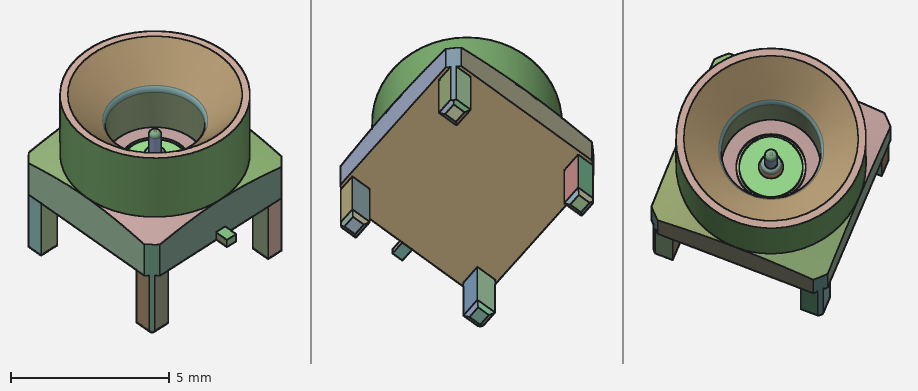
import cadquery as cq
import math


base_side = 6.0
base_bottom = 2.5
shoulder_height = 4.1
corner_radius = 4.0
top_slope_deg = 15.0

total_height = 6.6
shroud_radius = base_side / 2
mouth_radius = 2.75
bore_radius = 1.57
funnel_angle_deg = 45.0
throat_fillet = 0.3
bore_floor = 3.8

groove_outer_radius = 1.095
groove_inner_radius = 1.0
groove_depth = 0.1

pin_radius = 0.2
pin_top = 5.06
pin_tip_fillet = 0.15
collar_base_radius = 0.39
collar_top_radius = 0.335
collar_height = 0.395
collar_fillet = 0.125

leg_width = 0.71
leg_outer_face = 2.89
leg_tip_chamfer = 0.14
leg_overlap = 0.065

tab_length = 0.5
tab_width = 0.4
tab_thickness = 0.31
tab_bottom = base_bottom + 0.02
tab_overlap = 0.065


def cylinder(radius, bottom, top):
    return cq.Workplane("XY").workplane(offset=bottom).circle(radius).extrude(top - bottom)


def make_base():
    """Square block with rounded corners and a shallow conical top."""
    slope_drop = (corner_radius - shroud_radius) * math.tan(math.radians(top_slope_deg))
    envelope = (
        cq.Workplane("XZ")
        .moveTo(0, base_bottom)
        .lineTo(corner_radius, base_bottom)
        .lineTo(corner_radius, shoulder_height - slope_drop)
        .lineTo(shroud_radius, shoulder_height)
        .lineTo(0, shoulder_height)
        .close()
        .revolve(360, (0, 0, 0), (0, 1, 0))
    )
    block = (
        cq.Workplane("XY")
        .workplane(offset=base_bottom)
        .rect(base_side, base_side)
        .extrude(shoulder_height - base_bottom)
    )
    return block.intersect(envelope)


def make_bore():
    """Straight bore opening through a rounded throat into a conical mouth."""
    angle = math.radians(funnel_angle_deg)
    throat_height = total_height - (mouth_radius - bore_radius) / math.tan(angle)
    fillet_center_x = bore_radius + throat_fillet
    fillet_center_z = throat_height - throat_fillet * math.tan(angle / 2)

    def fillet_point(turn):
        """Point on the throat fillet, turned upward from the bore wall."""
        return (
            fillet_center_x - throat_fillet * math.cos(turn),
            fillet_center_z + throat_fillet * math.sin(turn),
        )

    return (
        cq.Workplane("XZ")
        .moveTo(0, bore_floor)
        .lineTo(bore_radius, bore_floor)
        .lineTo(*fillet_point(0))
        .threePointArc(fillet_point(angle / 2), fillet_point(angle))
        .lineTo(mouth_radius, total_height)
        .lineTo(0, total_height)
        .close()
        .revolve(360, (0, 0, 0), (0, 1, 0))
    )


def make_groove():
    floor = bore_floor - groove_depth
    outer = cylinder(groove_outer_radius, floor, bore_floor)
    return outer.cut(cylinder(groove_inner_radius, floor, bore_floor))


def make_pin():
    """Round-tipped pin rising from a tapered collar with a rounded shoulder."""
    pin = cylinder(pin_radius, base_bottom, pin_top).faces(">Z").edges().fillet(pin_tip_fillet)
    collar_top = bore_floor + collar_height
    bend = collar_fillet * math.sqrt(0.5)
    collar = (
        cq.Workplane("XZ")
        .moveTo(0, bore_floor)
        .lineTo(collar_base_radius, bore_floor)
        .lineTo(collar_top_radius, collar_top - collar_fillet)
        .threePointArc(
            (collar_top_radius - collar_fillet + bend, collar_top - collar_fillet + bend),
            (collar_top_radius - collar_fillet, collar_top),
        )
        .lineTo(0, collar_top)
        .close()
        .revolve(360, (0, 0, 0), (0, 1, 0))
    )
    return pin.union(collar)


def make_legs():
    """Four square legs with chamfered tips, trimmed by the corner cylinder."""
    leg_center = leg_outer_face - leg_width / 2
    leg_top = base_bottom + leg_overlap
    legs = (
        cq.Workplane("XY")
        .rect(2 * leg_center, 2 * leg_center, forConstruction=True)
        .vertices()
        .rect(leg_width, leg_width)
        .extrude(leg_top)
        .faces("<Z")
        .edges()
        .chamfer(leg_tip_chamfer)
    )
    return legs.intersect(cylinder(corner_radius, 0, leg_top))


def make_tab():
    return (
        cq.Workplane("XY")
        .box(tab_length + tab_overlap, tab_width, tab_thickness, centered=(False, True, False))
        .translate((base_side / 2 - tab_overlap, 0, tab_bottom))
    )


shroud = cylinder(shroud_radius, base_bottom, total_height)
housing = make_base().union(shroud).cut(make_bore()).cut(make_groove())
result = housing.union(make_pin()).union(make_legs()).union(make_tab())